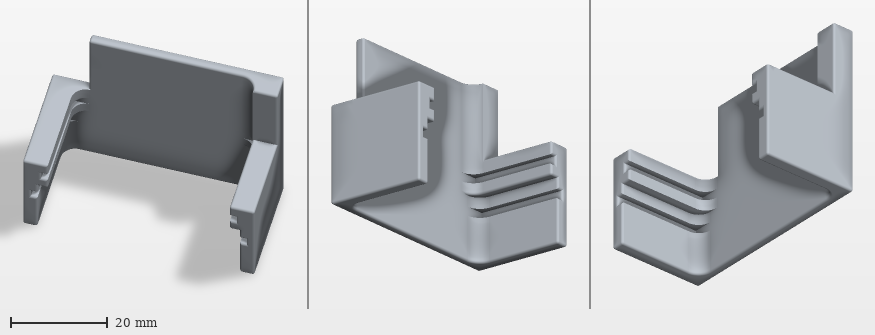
import cadquery as cq

width = 49.6
depth = 23.2
height = 39.0

plate_thickness = 2.1
arm_height = 21.95
step_height = 14.5
upper_wall = 5.3
lower_wall = 3.1
corner_radius = 3.1
post_depth = 5.3
edge_radius = 0.5

groove_height = 2.0
groove_depth = 1.45
lower_groove_floor = 10.0
upper_groove_floor = 17.0

plate_front = depth - plate_thickness
post_front = depth - post_depth
plate_left = upper_wall + corner_radius
right_inner_face = width - upper_wall
tower_base = arm_height - edge_radius

margin = edge_radius / 2


def block(x0, x1, y0, y1, z0, z1):
    """Box between two opposite corners."""
    shape = cq.Workplane("XY").box(x1 - x0, y1 - y0, z1 - z0, centered=False)
    return shape.translate((x0, y0, z0))


def zone(x0, x1, y0, y1, z0, z1):
    """Selector for the edges whose middle lies inside a box."""
    return cq.selectors.BoxSelector((x0, y0, z0), (x1, y1, z1))


def u_section(wall, z0, z1):
    """Length of U profile with rounded inside corners and the given wall thickness."""
    cavity = block(wall, width - wall, 0, plate_front, z0, z1)
    cavity = cavity.edges("|Z and >Y").fillet(corner_radius)
    return block(0, width, 0, depth, z0, z1).cut(cavity)


def upper_arms():
    """Upper part of both arms; only the right one has its inside edges rounded, above and below."""
    section = u_section(upper_wall, step_height, arm_height)
    left_half = section.intersect(block(0, width / 2, 0, depth, step_height, arm_height))
    right_half = section.intersect(block(width / 2, width, 0, depth, step_height, arm_height))
    edge_zone = zone(
        width / 2 + margin, right_inner_face + margin,
        margin, plate_front + margin,
        step_height - margin, arm_height + margin,
    )
    vertical_edges = cq.selectors.StringSyntaxSelector("|Z")
    right_half = right_half.edges(edge_zone - vertical_edges).fillet(edge_radius)
    plate = block(0, width, plate_front, depth, step_height - edge_radius, arm_height)
    return left_half.union(right_half).union(plate)


def groove_pair(wall, floor):
    """Slab that cuts one groove in each arm, reaching back to the plate."""
    groove_bottom = wall - groove_depth
    groove_top = floor + groove_height
    return block(groove_bottom, width - groove_bottom, 0, plate_front, floor, groove_top)


def base():
    """Both arms and the lower part of the plate, with grooves and rounded edges."""
    body = u_section(lower_wall, 0, step_height).union(upper_arms())
    body = body.cut(groove_pair(lower_wall, lower_groove_floor))
    body = body.cut(groove_pair(upper_wall, upper_groove_floor))
    return body.edges("<X or >X or <Y or >Y or <Z").fillet(edge_radius)


def tower():
    """Tall plate with the corner post on its right, rounded on top and outside."""
    body = u_section(upper_wall, tower_base, height)
    body = body.intersect(block(plate_left, width, post_front, depth, tower_base, height))
    return body.edges(">Z or (|Z and <X) or (|Z and >X)").fillet(edge_radius)


result = base().union(tower())